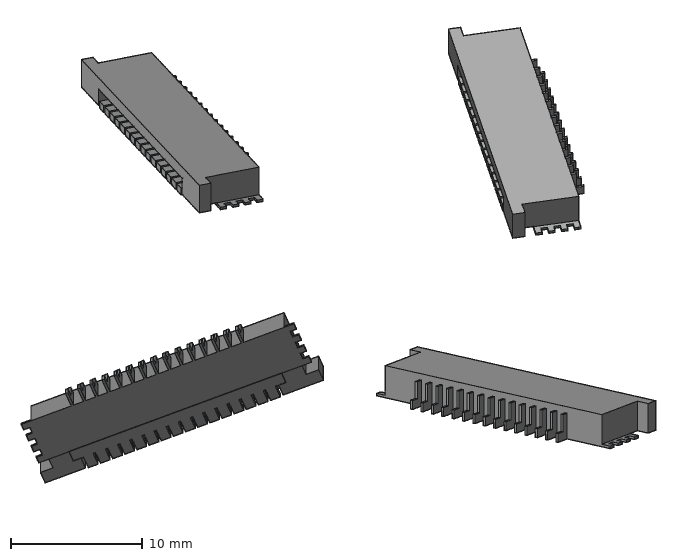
import cadquery as cq


top_height = 2.57

bar_length = 22.92
bar_depth = 0.96
housing_length = 20.85
housing_back = 5.39
housing_bottom = 0.2

slot_length = 16.27
slot_top = 1.6

keel_length = 17.5
keel_bottom = 0.07

terminal_count = 15
terminal_row_span = 14.0
pitch = terminal_row_span / (terminal_count - 1)
terminal_top = 2.06
terminal_shoulder = 5.94
tail_end = 6.53
tail_height = 0.7

block_count = terminal_count + 1
block_width = 0.8
block_top = 0.66
terminal_width = pitch - block_width

plate_length = 22.46
notch_depth = 0.5
tab_count = 4
tab_width = 0.5
plate_depth = (2 * tab_count - 1) * tab_width
plate_front = housing_back - plate_depth


def box(length, y_start, y_end, z_start, z_end, x_center=0):
    """Box centred on x_center, spanning the given Y and Z limits."""
    size = (length, y_end - y_start, z_end - z_start)
    corner = (x_center - length / 2, y_start, z_start)
    return cq.Workplane("XY").box(*size, centered=False).translate(corner)


def row_positions(count):
    """X positions of a centred row of items at the contact pitch."""
    return [(i - (count - 1) / 2) * pitch for i in range(count)]


def make_housing():
    bar = box(bar_length, 0, bar_depth, housing_bottom, top_height)
    slot = box(slot_length, 0, bar_depth, housing_bottom, slot_top)
    body = box(housing_length, bar_depth, housing_back, housing_bottom, top_height)
    keel = box(keel_length, bar_depth, housing_back, keel_bottom, housing_bottom)
    return bar.cut(slot).union(body).union(keel)


def make_solder_plate():
    plate = box(plate_length, plate_front, housing_back, 0, housing_bottom)
    notch_center = (plate_length - notch_depth) / 2
    for i in range(tab_count - 1):
        notch_start = plate_front + (2 * i + 1) * tab_width
        notch_end = notch_start + tab_width
        for side in (-1, 1):
            notch = box(notch_depth, notch_start, notch_end, 0, housing_bottom, side * notch_center)
            plate = plate.cut(notch)
    return plate


def make_guide_block(x):
    return box(block_width, 0, bar_depth, keel_bottom, block_top, x)


def make_terminal(x):
    """L-shaped blade behind the housing, with a low solder tail."""
    profile = [
        (housing_back, 0),
        (tail_end, 0),
        (tail_end, tail_height),
        (terminal_shoulder, tail_height),
        (terminal_shoulder, terminal_top),
        (housing_back, terminal_top),
    ]
    blade = cq.Workplane("YZ").polyline(profile).close().extrude(terminal_width)
    return blade.translate((x - terminal_width / 2, 0, 0))


result = make_housing().union(make_solder_plate())
for x in row_positions(block_count):
    result = result.union(make_guide_block(x))
for x in row_positions(terminal_count):
    result = result.union(make_terminal(x))